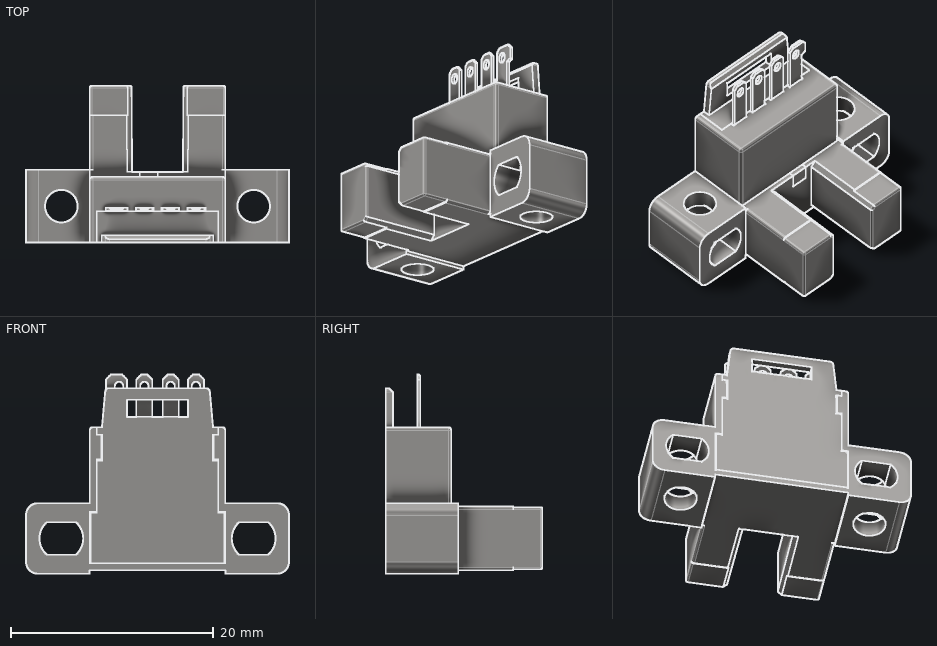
import cadquery as cq


overall_width = 26.0
overall_depth = 15.5
overall_height = 19.7

ear_depth = 7.2
ear_height = 7.0
ear_corner_radius = 1.2
mount_hole_x = 9.5
mount_hole_diameter = 3.2
cross_hole_width = 4.3
cross_hole_height = 3.2

body_half_width = 6.7
body_depth = 6.5
body_top = 14.5
body_radius = 0.3
base_bottom = 0.35
base_top = 6.7
slot_floor_y = 7.0
slot_root_half = 2.5
slot_mouth_half = 2.55
arm_chamfer = 0.5
arm_radius = 0.3
tip_start_y = 12.6
tip_step = 0.1
tip_radius = 0.2

cover_depth = 3.1
cover_clearance = 0.1
cover_bottom = 1.05
pocket_foot_half = body_half_width
pocket_foot_top = 6.15
cover_half = 6.0
tooth_half = 5.55
tooth_bottom = 11.3
tooth_top = 13.75
tab_base_half = 5.5
tab_top_half = 5.15
tab_top = 18.35
tab_thickness = 0.75
tab_corner_radius = 0.4
tab_chamfer = 0.4
window_half_width = 3.0
window_bottom = 15.5
window_top = 17.2

terminal_thickness = 0.3
terminal_clearance = 0.05
terminal_front = cover_depth + terminal_clearance
terminal_back = terminal_front + terminal_thickness
terminal_width = 1.6
terminal_xs = (-3.8, -1.3, 1.3, 3.8)
terminal_chamfer = 0.5
terminal_end_bevel = 0.15
terminal_depth_in_body = 3.0
terminal_slot_width = 1.8
terminal_slot_xs = (-3.85, -1.25, 1.25, 3.85)
eyelet_width = 0.8
eyelet_length = 1.0
eyelet_edge = 0.73
marker_ear_width = 0.5
marker_ear_outer_z = 18.05
marker_ear_inner_z = 17.85

indicator_width = 1.75
indicator_height = 1.5


def box(x0, x1, y0, y1, z0, z1):
    """Box between two opposite corners."""
    return cq.Workplane("XY").box(x1 - x0, y1 - y0, z1 - z0, centered=False).translate((x0, y0, z0))


def front_prism(points, y0, y1):
    """Outline of (x, z) points extruded from y0 back to y1."""
    return cq.Workplane("XZ", origin=(0, y0, 0)).polyline(points).close().extrude(y0 - y1)


def mirrored(half_outline):
    """Closed outline from its +X half, listed from bottom to top."""
    return half_outline + [(-x, z) for x, z in reversed(half_outline)]


def ear_block():
    block = box(-overall_width / 2, overall_width / 2, 0, ear_depth, 0, ear_height)
    return block.edges("|Y and (<X or >X)").fillet(ear_corner_radius)


def mount_holes(side):
    """Upright round hole and the flattened round hole that crosses it."""
    x = side * mount_hole_x
    upright = (
        cq.Workplane("XY").center(x, ear_depth / 2).circle(mount_hole_diameter / 2).extrude(ear_height)
    )
    crossing = cq.Workplane("XZ").center(x, ear_height / 2).circle(cross_hole_width / 2).extrude(-ear_depth)
    flats = box(
        x - cross_hole_width, x + cross_hole_width,
        0, ear_depth,
        (ear_height - cross_hole_height) / 2, (ear_height + cross_hole_height) / 2,
    )
    return upright.union(crossing.intersect(flats))


def arm():
    """Arm on the +X side: square collar between the ears, rounded root and slightly lower tip."""
    outline = [
        (slot_root_half, slot_floor_y),
        (body_half_width, slot_floor_y),
        (body_half_width, overall_depth),
        (slot_mouth_half, overall_depth),
    ]
    blank = (
        cq.Workplane("XY", origin=(0, 0, base_bottom))
        .polyline(outline).close().extrude(base_top - base_bottom)
    )
    blank = blank.faces("<X").edges("<Z or >Z").chamfer(arm_chamfer)
    collar = blank.intersect(box(0, body_half_width, slot_floor_y, ear_depth, 0, ear_height))
    root = blank.intersect(box(0, body_half_width, ear_depth, tip_start_y, 0, ear_height))
    root = root.edges("|Y and >X").fillet(arm_radius)
    tip = blank.intersect(
        box(0, body_half_width, tip_start_y, overall_depth, base_bottom + tip_step, base_top - tip_step)
    )
    tip = tip.edges("(|Y and >X) or >Y").fillet(tip_radius)
    return collar.union(root).union(tip)


def cover_pocket():
    return front_prism(
        mirrored([
            (pocket_foot_half, cover_bottom),
            (pocket_foot_half, pocket_foot_top),
            (cover_half, pocket_foot_top),
            (cover_half, tooth_bottom),
            (tooth_half, tooth_bottom),
            (tooth_half, tooth_top),
            (cover_half, tooth_top),
            (cover_half, body_top),
        ]),
        0, cover_depth,
    )


def make_indicator():
    """Window flush with the top of the base and with the floor of the sensing slot."""
    return box(-indicator_width, 0, body_depth, slot_floor_y, base_top - indicator_height, base_top)


def make_housing():
    upper = box(-body_half_width, body_half_width, 0, body_depth, base_bottom, body_top)
    upper = upper.edges("(|Z and >Y) or (>Z and (not <Y))").fillet(body_radius)
    ears = ear_block().cut(box(-body_half_width, body_half_width, 0, ear_depth, 0, ear_height))
    base = box(-body_half_width, body_half_width, 0, slot_floor_y, base_bottom, base_top)
    right_arm = arm()
    housing = base.union(upper).union(ears).union(right_arm).union(right_arm.mirror("YZ"))
    for side in (-1, 1):
        housing = housing.cut(mount_holes(side))
    housing = housing.cut(cover_pocket())
    for x in terminal_slot_xs:
        housing = housing.cut(
            box(
                x - terminal_slot_width / 2, x + terminal_slot_width / 2,
                cover_depth, terminal_back,
                body_top - terminal_depth_in_body, body_top,
            )
        )
    return housing.cut(make_indicator())


def cover_tab():
    """Tapered tab above the cover, with a window and a chamfered rear top edge."""
    tab = front_prism(
        mirrored([(tab_base_half, body_top), (tab_top_half, tab_top)]), 0, tab_thickness
    )
    tab = tab.edges("|Y and >Z").fillet(tab_corner_radius)
    chamfer_wedge = (
        cq.Workplane("YZ", origin=(-tab_base_half, 0, 0))
        .polyline([
            (tab_thickness - tab_chamfer, tab_top),
            (tab_thickness, tab_top),
            (tab_thickness, tab_top - tab_chamfer),
        ])
        .close().extrude(2 * tab_base_half)
    )
    window = box(-window_half_width, window_half_width, 0, tab_thickness, window_bottom, window_top)
    return tab.cut(chamfer_wedge).cut(window)


def make_cover():
    foot_half = pocket_foot_half - cover_clearance
    foot_top = pocket_foot_top - cover_clearance
    neck_half = tooth_half - cover_clearance
    neck_bottom = tooth_bottom - cover_clearance
    plate = front_prism(
        mirrored([
            (foot_half, cover_bottom),
            (foot_half, foot_top),
            (cover_half, foot_top),
            (cover_half, neck_bottom),
            (neck_half, neck_bottom),
            (neck_half, tooth_top),
            (cover_half, tooth_top),
            (cover_half, body_top),
        ]),
        0, cover_depth,
    )
    return plate.union(cover_tab())


def make_terminal(x, has_marker_ear):
    """Flat solder terminal with a chamfered end and an eyelet."""
    left = x - terminal_width / 2
    right = x + terminal_width / 2
    bottom = body_top - terminal_depth_in_body
    shoulder = overall_height - terminal_chamfer
    end_left = left - marker_ear_width if has_marker_ear else left
    outline = [
        (left, bottom),
        (right, bottom),
        (right, shoulder),
        (right - terminal_chamfer, overall_height),
        (end_left + terminal_chamfer, overall_height),
        (end_left, shoulder),
    ]
    if has_marker_ear:
        outline += [(end_left, marker_ear_outer_z), (left, marker_ear_inner_z)]
    blade = front_prism(outline, terminal_front, terminal_back)
    blade = blade.edges(">Z and >Y").chamfer(terminal_end_bevel)
    eyelet_z = overall_height - eyelet_edge - eyelet_length / 2
    eyelet = (
        cq.Workplane("XZ").center(x, eyelet_z)
        .slot2D(eyelet_length, eyelet_width, 90).extrude(-terminal_back)
    )
    return blade.cut(eyelet)


housing = make_housing()
cover = make_cover()
terminals = [make_terminal(x, x == terminal_xs[0]) for x in terminal_xs]
indicator = make_indicator()

result = cq.Compound.makeCompound([
    housing.val(),
    cover.val(),
    *[terminal.val() for terminal in terminals],
    indicator.val(),
])